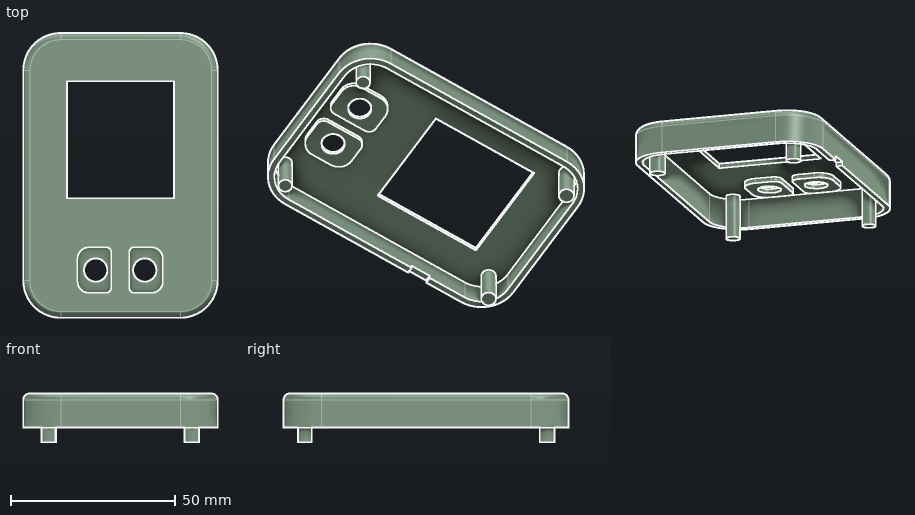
import cadquery as cq

width = 59.2
length = 86.7
total_height = 14.9
pin_drop = 4.5
shell_height = total_height - pin_drop
wall = 2.0
roof = 1.5
corner_radius = 11.45
top_fillet = 2.0

window_width = 32.5
window_length = 35.55
window_center_y = 10.8

button_axis_x = -0.1
button_center_y = -28.8
hole_spacing = 14.9
hole_diameter = 7.0
pocket_gap = 5.55
pocket_width = 10.2
pocket_length = 13.9
pocket_depth = 1.7
pocket_floor = 1.2
pocket_outer_radius = 3.55
pocket_inner_radius = 1.5
cup_wall = 1.0

pin_left_x = -21.85
pin_right_x = 21.7
pin_offset_y = 36.85
pins = [
    (pin_left_x, -pin_offset_y, 4.2),
    (pin_right_x, -pin_offset_y, 4.25),
    (pin_left_x, pin_offset_y, 4.5),
    (pin_right_x, pin_offset_y, 4.6),
]

notch_center_y = 15.95
notch_length = 6.5
notch_height = 1.2


def rounded_block(block_width, block_length, height, radius):
    """Upright block centred on the Z axis and standing on Z = 0."""
    block = cq.Workplane("XY").box(block_width, block_length, height, centered=(True, True, False))
    return block.edges("|Z").fillet(radius)


def make_shell():
    outer = rounded_block(width, length, shell_height, corner_radius).faces(">Z").edges().fillet(top_fillet)
    cavity = rounded_block(
        width - 2 * wall, length - 2 * wall, shell_height - roof, corner_radius - wall
    )
    return outer.cut(cavity)


def button_block(side, margin, bottom, top):
    """Pocket outline grown by margin; side is -1 for the left button, 1 for the right."""
    center_x = button_axis_x + side * (pocket_gap + pocket_width) / 2
    block = cq.Workplane("XY").box(
        pocket_width + 2 * margin, pocket_length + 2 * margin, top - bottom, centered=(True, True, False)
    )
    outward, inward = (">X", "<X") if side > 0 else ("<X", ">X")
    block = block.edges("|Z").edges(outward).fillet(pocket_outer_radius + margin)
    block = block.faces(inward).edges("|Z").fillet(pocket_inner_radius + margin)
    return block.translate((center_x, button_center_y, bottom))


def add_button(body, side):
    floor_top = shell_height - pocket_depth
    floor_bottom = floor_top - pocket_floor
    hole = (
        cq.Workplane("XY")
        .center(button_axis_x + side * hole_spacing / 2, button_center_y)
        .circle(hole_diameter / 2)
        .extrude(shell_height)
    )
    body = body.union(button_block(side, cup_wall, floor_bottom, shell_height))
    return body.cut(button_block(side, 0, floor_top, shell_height)).cut(hole)


def make_pin(x, y, diameter):
    """Pin hanging from the roof and reaching below the rim."""
    base = cq.Workplane("XY", origin=(x, y, -pin_drop))
    return base.circle(diameter / 2).extrude(total_height - roof / 2)


window = cq.Workplane("XY").box(window_width, window_length, 2 * shell_height).translate((0, window_center_y, 0))
notch = cq.Workplane("XY").box(2 * wall, notch_length, 2 * notch_height).translate(
    (-width / 2, notch_center_y, 0)
)

result = make_shell().cut(window).cut(notch)
for button_side in (-1, 1):
    result = add_button(result, button_side)
for pin_x, pin_y, pin_diameter in pins:
    result = result.union(make_pin(pin_x, pin_y, pin_diameter))